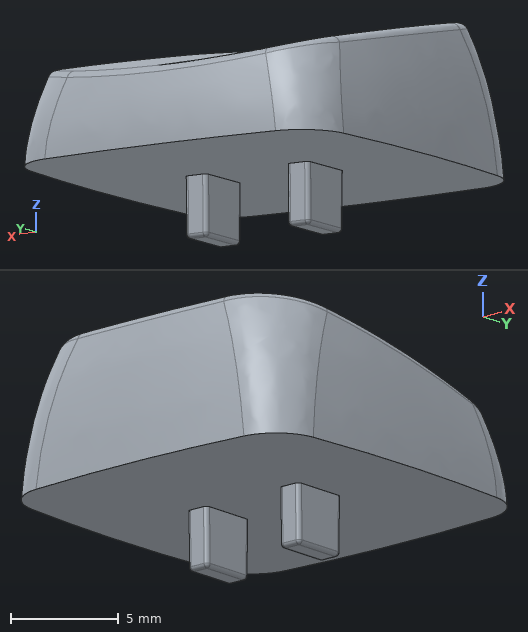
import cadquery as cq
import math

BASE_SIZE = 17.98
BASE_SIDE_RADIUS = 83.88
BASE_CORNER_RADIUS = 2.5

MID_HEIGHT = 3.4
MID_TILT = 6.2
MID_HALF_WIDTH = 8.7
MID_FRONT = -8.73
MID_BACK = 8.84
MID_SIDE_RADIUS = 61.2
MID_FRONT_CORNER_RADIUS = 3.15
MID_BACK_CORNER_RADIUS = 2.7

RIM_HEIGHT = 6.8
RIM_TILT = 9.6
RIM_HALF_WIDTH = 7.97
RIM_FRONT = -7.95
RIM_BACK = 8.06
RIM_SIDE_RADIUS = 37.8
RIM_FRONT_CORNER_RADIUS = 4.32
RIM_BACK_CORNER_RADIUS = 3.24

DISH_TILT = 12.4
DISH_RADIUS = 72.0
DISH_HEIGHT = 5.69
RIM_FILLET = 0.5

LEG_SPACING = 5.69
LEG_WIDTH = 1.2
LEG_ROOT_DEPTH = 2.99
LEG_TIP_DEPTH = 2.9
LEG_LENGTH = 2.93
LEG_FILLET = 0.2


def bulged_outline(height, tilt, half_width, front, back, side_radius, front_radius, back_radius):
    """Rounded rectangle with bowed sides, on a plane tilted about X; extents are in plan."""
    slope = math.radians(tilt)
    plane = cq.Plane(
        origin=(0, 0, height),
        xDir=(1, 0, 0),
        normal=(0, math.sin(slope), math.cos(slope)),
    )
    front /= math.cos(slope)
    back /= math.cos(slope)
    middle = (front + back) / 2
    half_depth = (back - front) / 2

    bow_x = half_depth**2 / (2 * side_radius)
    bow_y = half_width**2 / (2 * side_radius)
    corner_x = half_width - bow_x
    corner_front = front + bow_y
    corner_back = back - bow_y

    outline = (
        cq.Workplane(plane)
        .moveTo(-corner_x, corner_front)
        .threePointArc((0, front), (corner_x, corner_front))
        .threePointArc((half_width, middle), (corner_x, corner_back))
        .threePointArc((0, back), (-corner_x, corner_back))
        .threePointArc((-half_width, middle), (-corner_x, corner_front))
        .close()
    )
    wire = outline.val()
    wire = wire.fillet2D(front_radius, outline.vertices("<Y").vals())
    return wire.fillet2D(back_radius, outline.vertices(">Y").vals())


def skirt():
    """Smooth body through the three sections."""
    half = BASE_SIZE / 2
    base = bulged_outline(
        height=0,
        tilt=0,
        half_width=half,
        front=-half,
        back=half,
        side_radius=BASE_SIDE_RADIUS,
        front_radius=BASE_CORNER_RADIUS,
        back_radius=BASE_CORNER_RADIUS,
    )
    middle = bulged_outline(
        height=MID_HEIGHT,
        tilt=MID_TILT,
        half_width=MID_HALF_WIDTH,
        front=MID_FRONT,
        back=MID_BACK,
        side_radius=MID_SIDE_RADIUS,
        front_radius=MID_FRONT_CORNER_RADIUS,
        back_radius=MID_BACK_CORNER_RADIUS,
    )
    rim = bulged_outline(
        height=RIM_HEIGHT,
        tilt=RIM_TILT,
        half_width=RIM_HALF_WIDTH,
        front=RIM_FRONT,
        back=RIM_BACK,
        side_radius=RIM_SIDE_RADIUS,
        front_radius=RIM_FRONT_CORNER_RADIUS,
        back_radius=RIM_BACK_CORNER_RADIUS,
    )
    return cq.Workplane(cq.Solid.makeLoft([base, middle, rim]))


def dish():
    """Cutting cylinder lying tilted along Y, tangent to the lowest line of the top."""
    slope = math.radians(DISH_TILT)
    along = cq.Vector(0, math.cos(slope), -math.sin(slope))
    up = cq.Vector(0, math.sin(slope), math.cos(slope))
    start = cq.Vector(0, 0, DISH_HEIGHT) + up * DISH_RADIUS - along * BASE_SIZE
    return cq.Workplane(cq.Solid.makeCylinder(DISH_RADIUS, 2 * BASE_SIZE, start, along))


def leg(x):
    """Slab tapering slightly in Y towards its rounded tip."""
    root = LEG_ROOT_DEPTH / 2
    tip = LEG_TIP_DEPTH / 2
    profile = [(-root, 0), (root, 0), (tip, -LEG_LENGTH), (-tip, -LEG_LENGTH)]
    return (
        cq.Workplane("YZ", origin=(x, 0, 0))
        .polyline(profile)
        .close()
        .extrude(LEG_WIDTH / 2, both=True)
        .edges("not >Z")
        .fillet(LEG_FILLET)
    )


result = skirt().cut(dish())
result = result.faces("%CYLINDER").edges().fillet(RIM_FILLET)
for side in (-1, 1):
    result = result.union(leg(side * LEG_SPACING / 2))